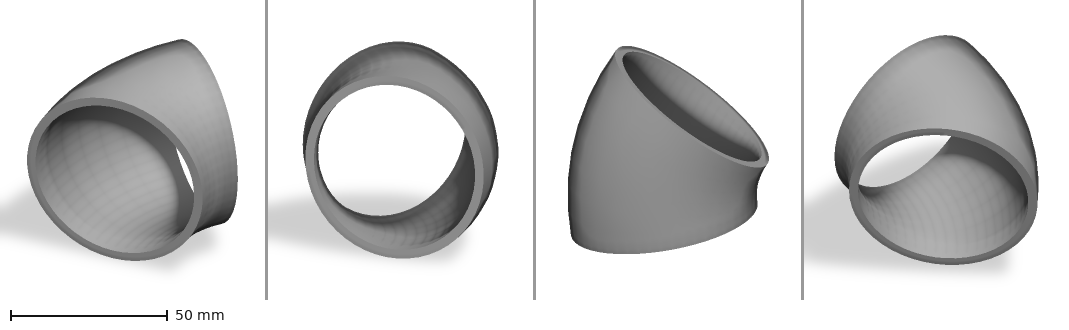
import cadquery as cq
import math

overall_width = 66.4
outer_diameter = 60.3
wall_thickness = 2.9
bend_angle = 45.0

outer_radius = outer_diameter / 2
inner_radius = outer_radius - wall_thickness

bend_cosine = math.cos(math.radians(bend_angle))
bend_radius = (overall_width - outer_radius * (1 + bend_cosine)) / (1 - bend_cosine)

axis_start = (bend_radius, 0)
axis_end = (bend_radius, -1)

result = (
    cq.Workplane("XZ")
    .circle(outer_radius)
    .circle(inner_radius)
    .revolve(bend_angle, axis_start, axis_end)
)